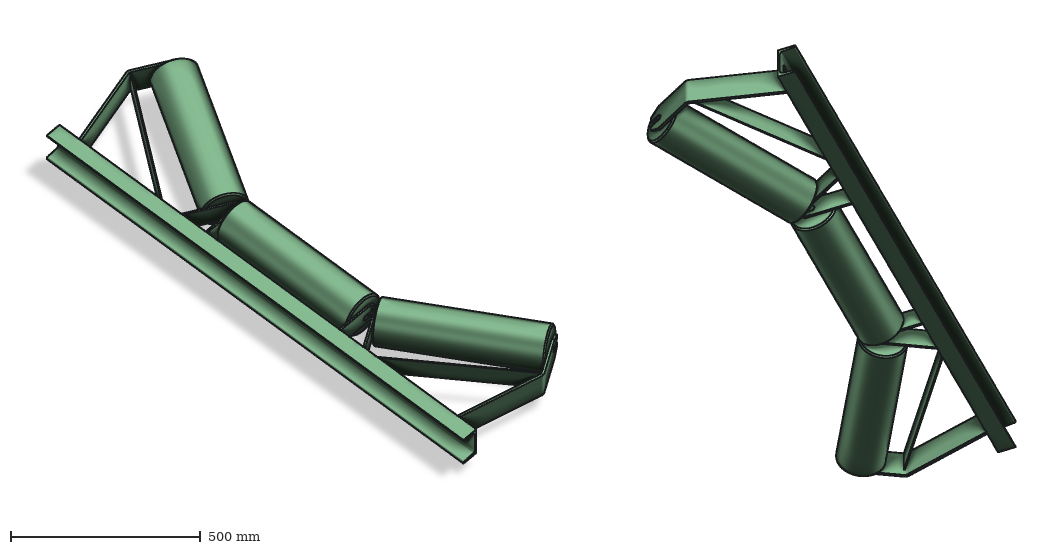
import cadquery as cq
import math


channel_length = 1507.0
channel_height = 100.0
channel_depth = 50.0
web_thickness = 6.0
flange_thickness = 8.5
flange_slope = 0.08
root_radius = 8.5
toe_radius = 5.0
mount_slot_width = 18.0
mount_slot_height = 36.0
mount_slot_from_end = 33.0

roller_radius = 66.0
roller_length = 469.0
roller_chamfer = 5.0
shaft_radius = 9.0
shaft_reach = 10.0
center_roller_y = 118.0
center_roller_z = -21.0
wing_angle = 30.0
wing_tilt = 2.3
wing_roller_x = 478.0
wing_roller_y = 245.0
wing_roller_z = -10.0

outer_bracket_height = 81.0
outer_bracket_thickness = 8.0
outer_bracket_bend_radius = 15.0
outer_foot_x = 683.0
outer_corner_x = 749.0
outer_corner_y = 260.0
outer_arm_length = 154.0
tip_chamfer_length = 32.0
tip_chamfer_height = 18.0
inner_bracket_height = 60.0
inner_bracket_thickness = 6.0
inner_bracket_bend_radius = 10.0
inner_bracket_z = -15.0
inner_leg_x = 241.0
inner_foot_x = 340.0

stay_height = 60.0
stay_thickness = 3.8
stay_z = 9.0
stay_foot_x = 383.0
stay_top_x = 743.0
stay_top_y = 264.0

slot_reach = 60.0
foot_overrun = 15.0
sides = (-1, 1)


def bent_strip(start, corner, end, thickness, bend_radius, height, z):
    """Strip standing on edge along start-corner-end, with a rounded bend at the corner."""
    first = (cq.Vector(*corner) - cq.Vector(*start)).normalized()
    second = (cq.Vector(*end) - cq.Vector(*corner)).normalized()
    half = thickness / 2
    first_side = cq.Vector(-first.y, first.x) * half
    second_side = cq.Vector(-second.y, second.x) * half
    miter = (first_side + second_side) * (1 / (1 + first.dot(second)))
    foot, bend, tip = cq.Vector(*start), cq.Vector(*corner), cq.Vector(*end)
    outline = [
        foot + first_side,
        bend + miter,
        tip + second_side,
        tip - second_side,
        bend - miter,
        foot - first_side,
    ]
    strip = cq.Workplane().polyline([(p.x, p.y) for p in outline]).close().extrude(height)
    strip = strip.translate((0, 0, z - height / 2))
    left_turn = first.cross(second).z > 0
    to_inside = miter if left_turn else -miter
    inside, outside = bend + to_inside, bend - to_inside
    for point, radius in ((inside, bend_radius - half), (outside, bend_radius + half)):
        edge = strip.edges(cq.selectors.NearestToPointSelector((point.x, point.y, z)))
        strip = edge.fillet(radius)
    return strip


def trim_at_channel(strip):
    """Cut a strip off flush with the channel's back face."""
    size = 2 * channel_length
    return strip.cut(cq.Workplane().box(size, size, size).translate((0, -size / 2, 0)))


def make_channel():
    half = channel_height / 2
    taper = flange_slope * channel_depth / 2
    toe = half - flange_thickness + taper
    root = half - flange_thickness - taper
    profile = [
        (0, half),
        (-channel_depth, half),
        (-channel_depth, toe),
        (-web_thickness, root),
        (-web_thickness, -root),
        (-channel_depth, -toe),
        (-channel_depth, -half),
        (0, -half),
    ]
    channel = cq.Workplane("YZ").polyline(profile).close().extrude(channel_length)
    channel = channel.translate((-channel_length / 2, 0, 0))
    for y, z, radius in ((-web_thickness, root, root_radius), (-channel_depth, toe, toe_radius)):
        for side in sides:
            edge = channel.edges(cq.selectors.NearestToPointSelector((0, y, side * z)))
            channel = edge.fillet(radius)
    slot_x = channel_length / 2 - mount_slot_from_end
    slots = (
        cq.Workplane("XZ")
        .pushPoints([(side * slot_x, 0) for side in sides])
        .slot2D(mount_slot_height, mount_slot_width, 90)
        .extrude(channel_depth)
    )
    return channel.cut(slots)


def centered_bar(radius, half_length):
    """Round bar along X, centred on the origin."""
    return cq.Workplane("YZ").workplane(offset=-half_length).circle(radius).extrude(2 * half_length)


def make_roller():
    """Roller with its shaft, lying along X and centred on the origin."""
    half = roller_length / 2
    shell = centered_bar(roller_radius, half).faces("|X").chamfer(roller_chamfer)
    shaft = centered_bar(shaft_radius, half + shaft_reach)
    return shell.union(shaft)


def make_shaft_slot(end):
    """Cutter for the open slot that takes the shaft at one end of a roller lying along X."""
    depth = 2 * shaft_reach
    slot = cq.Workplane("YZ").circle(shaft_radius).extrude(depth)
    slot = slot.union(
        cq.Workplane("YZ").center(slot_reach / 2, 0).rect(slot_reach, 2 * shaft_radius).extrude(depth)
    )
    middle = end * (roller_length / 2 + shaft_reach)
    return slot.translate((middle - depth / 2, 0, 0))


def place_center(body):
    return body.translate((0, center_roller_y, center_roller_z))


def place_wing(body, side):
    """Swing a body from along X into the wing roller position, outer end raised."""
    raised = body.rotate((0, 0, 0), (0, 1, 0), -side * wing_tilt)
    swung = raised.rotate((0, 0, 0), (0, 0, 1), side * wing_angle)
    return swung.translate((side * wing_roller_x, wing_roller_y, wing_roller_z))


def make_tip_corners(corner, tip):
    """Cutter for the top and bottom corners at the tip of an outer bracket."""
    arm = (cq.Vector(*tip) - cq.Vector(*corner)).normalized()
    arm_plane = cq.Plane(origin=tip, xDir=arm, normal=arm.cross(cq.Vector(0, 0, 1)))
    half = outer_bracket_height / 2
    triangle = [(0, half), (-tip_chamfer_length, half), (0, half - tip_chamfer_height)]
    upper = cq.Workplane(arm_plane).polyline(triangle).close().extrude(outer_bracket_thickness, both=True)
    return upper.union(upper.mirror("XY"))


def make_outer_bracket(side):
    lean = math.radians(wing_angle)
    run = (outer_corner_x - outer_foot_x) / outer_corner_y
    foot = (side * (outer_foot_x - run * foot_overrun), -foot_overrun)
    corner = (side * outer_corner_x, outer_corner_y)
    tip = (
        side * (outer_corner_x - outer_arm_length * math.sin(lean)),
        outer_corner_y + outer_arm_length * math.cos(lean),
    )
    strip = bent_strip(
        foot, corner, tip, outer_bracket_thickness, outer_bracket_bend_radius, outer_bracket_height, 0
    )
    strip = trim_at_channel(strip).cut(place_wing(make_shaft_slot(side), side))
    return strip.cut(make_tip_corners(corner, tip))


def make_inner_bracket(side):
    run = math.tan(math.radians(wing_angle))
    peak_y = (inner_foot_x - inner_leg_x) / run
    wing_foot = (side * (inner_foot_x + run * foot_overrun), -foot_overrun)
    peak = (side * inner_leg_x, peak_y)
    center_foot = (side * inner_leg_x, -foot_overrun)
    strip = bent_strip(
        wing_foot,
        peak,
        center_foot,
        inner_bracket_thickness,
        inner_bracket_bend_radius,
        inner_bracket_height,
        inner_bracket_z,
    )
    strip = trim_at_channel(strip)
    strip = strip.cut(place_wing(make_shaft_slot(-side), side))
    return strip.cut(place_center(make_shaft_slot(side)))


def make_stay(side):
    """Flat bar from the channel to the inside of the outer bracket's bend."""
    run = cq.Vector(stay_top_x - stay_foot_x, stay_top_y)
    angle = math.degrees(math.atan2(run.y, run.x))
    overrun = cq.Vector(run.x, run.y).normalized() * foot_overrun
    bar = cq.Workplane().box(run.Length + foot_overrun, stay_thickness, stay_height)
    bar = bar.rotate((0, 0, 0), (0, 0, 1), angle)
    bar = bar.translate((run - overrun) / 2 + cq.Vector(stay_foot_x, 0, stay_z))
    if side < 0:
        bar = bar.mirror("YZ")
    return trim_at_channel(bar).cut(make_outer_bracket(side))


channel = make_channel()
center_roller = place_center(make_roller())
wing_rollers = [place_wing(make_roller(), side) for side in sides]
outer_brackets = [make_outer_bracket(side) for side in sides]
inner_brackets = [make_inner_bracket(side) for side in sides]
stays = [make_stay(side) for side in sides]

bodies = [channel, center_roller, *wing_rollers, *outer_brackets, *inner_brackets, *stays]
result = cq.Compound.makeCompound([body.solids().val() for body in bodies])